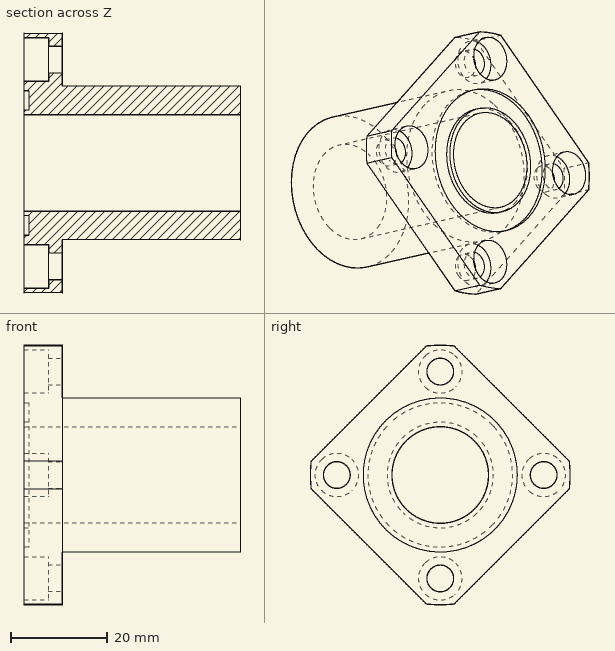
import cadquery as cq

total_length = 45.0
body_diameter = 32.0

flange_thickness = 8.0
flange_across_flats = 42.0
flange_corner_diameter = 54.0

bore_diameter = 20.0
groove_inner_diameter = 22.0
groove_outer_diameter = 30.0
groove_depth = 1.0

screw_count = 4
screw_circle_radius = 21.5
screw_hole_diameter = 5.5
counterbore_diameter = 9.0
counterbore_depth = 5.15


def cylinder(diameter, length):
    """Cylinder along +X from the flange face."""
    return cq.Workplane("YZ").circle(diameter / 2).extrude(length)


def make_flange():
    square = (
        cq.Workplane("YZ")
        .rect(flange_across_flats, flange_across_flats)
        .extrude(flange_thickness)
        .rotate((0, 0, 0), (1, 0, 0), 45)
    )
    return square.intersect(cylinder(flange_corner_diameter, flange_thickness))


def make_groove():
    ring = cylinder(groove_outer_diameter, groove_depth)
    return ring.cut(cylinder(groove_inner_diameter, groove_depth))


def make_screw_holes(diameter, depth):
    return (
        cq.Workplane("YZ")
        .polarArray(screw_circle_radius, 0, 360, screw_count)
        .circle(diameter / 2)
        .extrude(depth)
    )


result = (
    make_flange()
    .union(cylinder(body_diameter, total_length))
    .cut(cylinder(bore_diameter, total_length))
    .cut(make_groove())
    .cut(make_screw_holes(screw_hole_diameter, flange_thickness))
    .cut(make_screw_holes(counterbore_diameter, counterbore_depth))
)